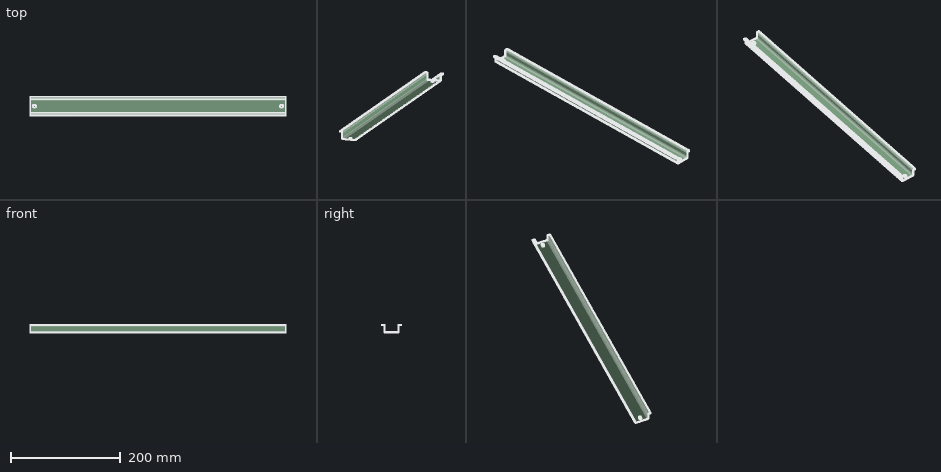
import cadquery as cq

length = 466.0
width = 35.0
height = 15.0

thickness = 1.5
channel_width = 27.0
inner_bend_radius = 0.8
outer_bend_radius = inner_bend_radius + thickness

slot_length = 6.0
slot_width = 4.0
slot_end_distance = 8.0


def rail_section():
    """Hat section in the YZ plane, with its floor on Z = 0."""
    half_width = width / 2
    outer_wall = channel_width / 2
    inner_wall = outer_wall - thickness
    flange_bottom = height - thickness
    right_side = [
        (outer_wall, 0),
        (outer_wall, flange_bottom),
        (half_width, flange_bottom),
        (half_width, height),
        (inner_wall, height),
        (inner_wall, thickness),
    ]
    left_side = [(-y, z) for y, z in reversed(right_side)]
    return cq.Workplane("YZ").polyline(right_side + left_side).close()


def bend_edges(body, y, z):
    """Lengthwise edges at a bend corner and at its mirror image across the XZ plane."""
    tolerance = 0.05
    edges = []
    for side in (-1, 1):
        corner = cq.selectors.BoxSelector(
            (-length, side * y - tolerance, z - tolerance),
            (length, side * y + tolerance, z + tolerance),
        )
        edges += body.edges("|X").edges(corner).vals()
    return body.newObject(edges)


def round_bends(body):
    """Round the four sheet bends with concentric inside and outside radii."""
    outer_wall = channel_width / 2
    inner_wall = outer_wall - thickness
    body = bend_edges(body, outer_wall, 0).fillet(outer_bend_radius)
    body = bend_edges(body, inner_wall, height).fillet(outer_bend_radius)
    body = bend_edges(body, inner_wall, thickness).fillet(inner_bend_radius)
    return bend_edges(body, outer_wall, height - thickness).fillet(inner_bend_radius)


rail = round_bends(rail_section().extrude(length / 2, both=True))

slot_x = length / 2 - slot_end_distance
slots = (
    cq.Workplane("XY")
    .pushPoints([(-slot_x, 0), (slot_x, 0)])
    .slot2D(slot_length, slot_width)
    .extrude(thickness)
)

result = rail.cut(slots)